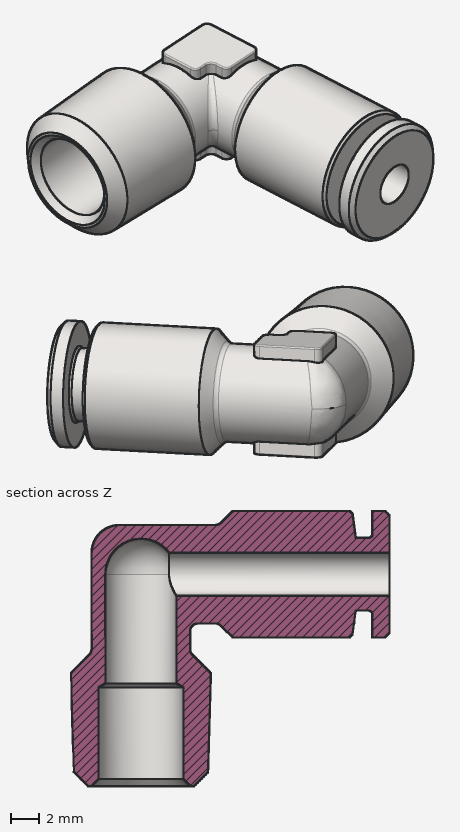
import cadquery as cq
import math


neck_radius = 3.5
outer_corner_radius = 2.0
blend_radius = 0.5
neck_end = 4.51

core_length = 3.15
core_width = 1.58

stub_length = 15.0
thread_start = 7.0
thread_end = 14.0
thread_big_radius = 4.97
thread_small_radius = 4.76
stub_tip_chamfer = stub_length - thread_end

socket_radius = 4.5
socket_start = 6.5
socket_end = 14.99
socket_rim_chamfer = 0.2
socket_face_crown = 0.23

collar_end = 17.6
collar_flange_width = 1.25
collar_chamfer = 0.34
collar_neck_radius = 2.6
collar_root_width = 0.18
collar_root_height = 0.14

stub_bore_radius = 2.5
counterbore_radius = 3.0
counterbore_depth = 7.0
bore_step_length = 0.3
mouth_radius = 3.52
mouth_depth = mouth_radius - counterbore_radius
socket_bore_radius = 1.51

pad_outer_side = 1.75
pad_inner_side = 3.23
pad_notch_side = 1.67
pad_height = 4.0
pad_corner_radius = 0.5
pad_edge_radius = 0.1


def revolve_along_stub(points):
    """Revolve (distance from origin, radius) points about the stub axis."""
    outline = cq.Workplane("XY").polyline([(radius, -along) for along, radius in points]).close()
    return outline.revolve(360, (0, 0, 0), (0, 1, 0))


def revolve_along_socket(points):
    """Revolve (distance from origin, radius) points about the socket axis."""
    outline = cq.Workplane("XY").polyline(points).close()
    return outline.revolve(360, (0, 0, 0), (1, 0, 0))


def mitred_arm(workplane, keep_sign):
    """Round arm kept on one side of the 45 degree plane where the two arms meet."""
    corner = keep_sign * 2 * neck_end
    arm = cq.Workplane(workplane).circle(neck_radius).extrude(neck_end, both=True)
    half_space = (
        cq.Workplane("XY")
        .polyline([(-corner, corner), (corner, -corner), (corner, corner)])
        .close()
        .extrude(neck_end, both=True)
    )
    return arm.intersect(half_space)


def corner_box(direction):
    """Selector for the mitre edges on the outer (-1) or inner (1) side of the elbow."""
    far = 2 * neck_radius
    near_corner = (direction * core_length / 2, -direction * core_length / 2, -far)
    far_corner = (direction * far, -direction * far, far)
    return cq.selectors.BoxSelector(near_corner, far_corner)


def make_elbow():
    """Mitred arms with rounded outer and inner corners; the core is left open for the pads to fill."""
    elbow = mitred_arm("XZ", -1).union(mitred_arm("YZ", 1))

    core = (
        cq.Workplane("XY")
        .transformed(rotate=(0, 0, -45))
        .rect(core_length, core_width)
        .extrude(2 * neck_radius, both=True)
    )
    elbow = elbow.cut(core)
    elbow = elbow.edges(corner_box(-1)).fillet(outer_corner_radius)
    return elbow.edges(corner_box(1)).fillet(blend_radius)


def make_pads():
    """L-shaped block through the elbow; its two ends stand proud as the pads."""
    outline = [
        (-pad_outer_side, pad_outer_side),
        (pad_inner_side, pad_outer_side),
        (pad_inner_side, -pad_notch_side),
        (pad_notch_side, -pad_notch_side),
        (pad_notch_side, -pad_inner_side),
        (-pad_outer_side, -pad_inner_side),
    ]
    block = cq.Workplane("XY").polyline(outline).close().extrude(pad_height, both=True)
    block = block.edges("|Z").fillet(pad_corner_radius)
    return block.faces("|Z").edges().fillet(pad_edge_radius)


def round_shoulder(body, axis, root):
    """Blend the concave ring where a shoulder meets its neck."""
    half = blend_radius / 2
    far = neck_radius + half
    if axis == "X":
        low, high = (root - half, -far, -far), (root + half, far, far)
    else:
        low, high = (-far, -root - half, -far), (far, -root + half, far)
    return body.edges(cq.selectors.BoxSelector(low, high)).fillet(blend_radius)


def make_stub():
    """Tapered thread blank with a chamfered tip."""
    shoulder_root = thread_start - (thread_big_radius - neck_radius)
    stub = revolve_along_stub([
        (neck_end, 0),
        (neck_end, neck_radius),
        (shoulder_root, neck_radius),
        (thread_start, thread_big_radius),
        (thread_end, thread_small_radius),
        (stub_length, thread_small_radius - stub_tip_chamfer),
        (stub_length, 0),
    ])
    return round_shoulder(stub, "Y", shoulder_root)


def make_socket():
    """Socket barrel with the release collar standing out of its open end."""
    shoulder_root = socket_start - (socket_radius - neck_radius)
    flange_start = collar_end - collar_flange_width
    socket = revolve_along_socket([
        (neck_end, 0),
        (neck_end, neck_radius),
        (shoulder_root, neck_radius),
        (socket_start, socket_radius),
        (socket_end - socket_rim_chamfer, socket_radius),
        (socket_end, socket_radius - socket_rim_chamfer),
        (socket_end + socket_face_crown, collar_neck_radius),
        (flange_start - collar_root_width, collar_neck_radius),
        (flange_start, collar_neck_radius + collar_root_height),
        (flange_start, socket_radius),
        (collar_end - collar_chamfer, socket_radius),
        (collar_end, socket_radius - collar_chamfer),
        (collar_end, 0),
    ])
    return round_shoulder(socket, "X", shoulder_root)


def make_bores():
    """Stepped stub bore with a round end at the elbow, joined by the socket bore."""
    counterbore_end = stub_length - counterbore_depth
    arc_middle = stub_bore_radius * math.sqrt(0.5)
    outline = (
        cq.Workplane("XY")
        .moveTo(0, stub_bore_radius)
        .threePointArc((arc_middle, arc_middle), (stub_bore_radius, 0))
        .lineTo(stub_bore_radius, -counterbore_end + bore_step_length)
        .lineTo(counterbore_radius, -counterbore_end)
        .lineTo(counterbore_radius, -stub_length + mouth_depth)
        .lineTo(mouth_radius, -stub_length)
        .lineTo(0, -stub_length)
        .close()
    )
    stub_bore = outline.revolve(360, (0, 0, 0), (0, 1, 0))
    socket_bore = cq.Workplane("YZ").circle(socket_bore_radius).extrude(collar_end)
    return stub_bore.union(socket_bore)


result = make_elbow().union(make_pads()).union(make_stub()).union(make_socket()).cut(make_bores())